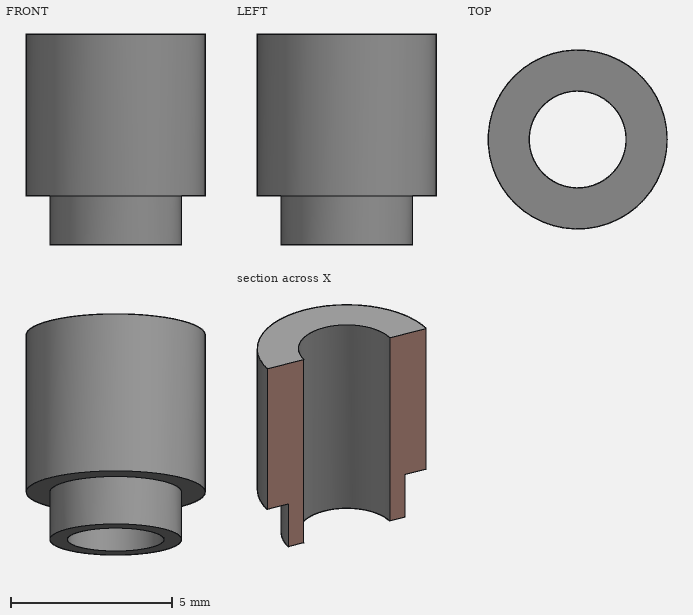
import cadquery as cq

total_height = 6.53
spigot_height = 1.515
body_diameter = 5.56
spigot_diameter = 4.09
bore_diameter = 3.0

body_height = total_height - spigot_height

spigot = cq.Workplane("XY").circle(spigot_diameter / 2).extrude(spigot_height)

body = (
    cq.Workplane("XY")
    .workplane(offset=spigot_height)
    .circle(body_diameter / 2)
    .extrude(body_height)
)

bore = cq.Workplane("XY").circle(bore_diameter / 2).extrude(total_height)

result = spigot.union(body).cut(bore)